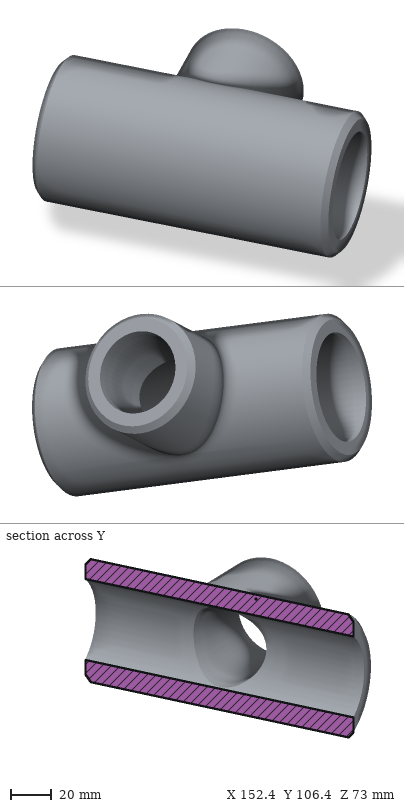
import cadquery as cq

run_length = 152.4
run_diameter = 73.0
run_bore = 54.0
branch_diameter = 60.4
overall_width = 106.4
branch_reach = overall_width - run_diameter / 2
end_chamfer = 3.0
wall = (run_diameter - run_bore) / 2
branch_bore = branch_diameter - 2 * wall


def make_run():
    """Solid run, chamfered around both ends."""
    cylinder = cq.Workplane("YZ").circle(run_diameter / 2).extrude(run_length / 2, both=True)
    return cylinder.faces("<X or >X").chamfer(end_chamfer)


def branch_cylinder(diameter):
    """Cylinder from the run axis to the end of the branch."""
    return cq.Workplane("XZ").circle(diameter / 2).extrude(-branch_reach)


branch = branch_cylinder(branch_diameter).faces(">Y").chamfer(end_chamfer)
run_hole = cq.Workplane("YZ").circle(run_bore / 2).extrude(run_length / 2, both=True)

result = make_run().union(branch).cut(run_hole).cut(branch_cylinder(branch_bore))